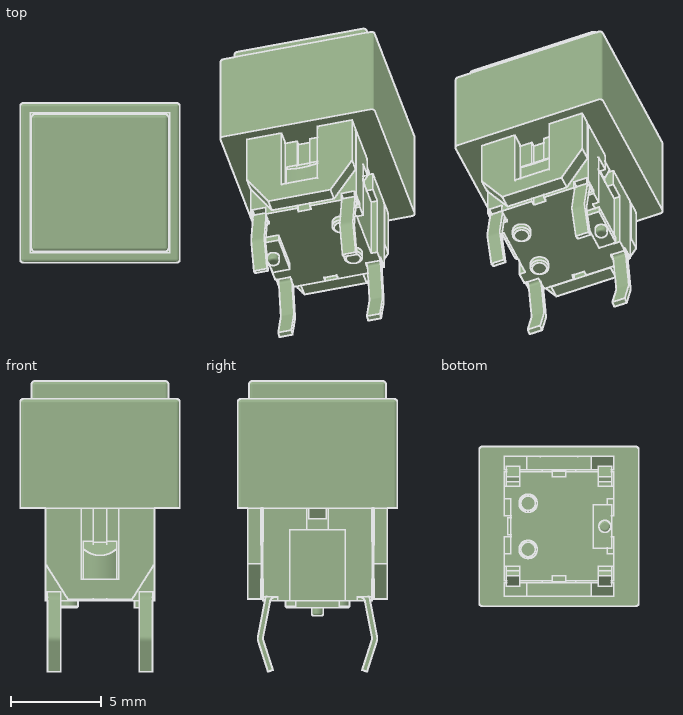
import cadquery as cq
import math


cap_side = 8.8
cap_bottom = 5.1
cap_height = 6.02
cap_top = cap_bottom + cap_height
edge_round = 0.2
button_side = 7.55
button_rise = 0.98
button_gap = 0.075
gap_depth = 1.0

housing_side = 6.0
half_side = housing_side / 2
cap_overlap = 0.2
housing_height = cap_bottom + cap_overlap

recess_width = 3.04
recess_depth = 0.35
recess_top = 3.9
channel_width = 1.16
channel_depth = 0.5
wedge_width = 0.94
wedge_bottom = 4.52
wedge_reach = 0.33

groove_width = 0.72
groove_depth = 0.28
groove_into_nose = 0.04

plate_gap = 0.1
plate_thickness = 0.75
plate_inner = half_side + plate_gap
plate_outer = plate_inner + plate_thickness
plate_bottom = 0.1
plate_slope_top = 2.04
plate_bottom_width = 3.54
window_width = 2.04
window_bottom = 1.2

nose_diameter = 3.7
nose_width = 1.82
nose_front = 3.53
nose_top_at_housing = 3.28
nose_top_at_front = 2.5

leg_width = 0.75
leg_thickness = 0.3
leg_spacing = 5.05
leg_top = 0.5
leg_bottom = -3.9
leg_start = 2.0
knee_y = 3.31
knee_z = -2.1
upper_angle = 11.0
lower_angle = 17.9
outer_bend = 0.55
inner_bend = outer_bend - leg_thickness
pocket_depth = 0.8
side_notch_height = 0.23

foot_drop = 0.39
peg_diameter = 1.0
peg_x = -1.7
peg_y = 1.27
peg_chamfer = 0.1
block_length = 1.0
block_width = 2.4
block_x = 2.39
pin_diameter = 0.66
pin_x = 2.52
pin_drop = 0.83
pin_round = 0.15


def box(x_range, y_range, z_range):
    """Box between the given limits on each axis."""
    size = [high - low for low, high in (x_range, y_range, z_range)]
    corner = (x_range[0], y_range[0], z_range[0])
    return cq.Workplane("XY").box(*size, centered=False).translate(corner)


def centred(width):
    return (-width / 2, width / 2)


def both_sides(shape, plane):
    """A shape together with its mirror image."""
    return shape.union(shape.mirror(plane))


def square_block(side, bottom, height):
    return cq.Workplane("XY").workplane(offset=bottom).rect(side, side).extrude(height)


def rounded_block(side, bottom, height):
    """Square block with rounded upright and top edges."""
    return square_block(side, bottom, height).edges("|Z or >Z").fillet(edge_round)


def make_cap():
    cap = rounded_block(cap_side, cap_bottom, cap_height)
    well_floor = cap_top - gap_depth
    cap = cap.cut(square_block(button_side + 2 * button_gap, well_floor, gap_depth))
    button = rounded_block(button_side, well_floor - cap_overlap, cap_overlap + gap_depth + button_rise)
    return cap.union(button)


def make_side_recess():
    """Wide recess with a deeper narrow channel above it, on the -X side."""
    recess = box((-half_side, -half_side + recess_depth), centred(recess_width), (0, recess_top))
    channel_back = -half_side + channel_depth
    return recess.union(box((-half_side, channel_back), centred(channel_width), (recess_top, cap_bottom)))


def make_wedge():
    """Wedge in the -X channel, widening upward into the cap."""
    root = -half_side + channel_depth
    return (
        cq.Workplane("XZ")
        .moveTo(root, wedge_bottom)
        .lineTo(root - wedge_reach, cap_bottom)
        .lineTo(root, cap_bottom)
        .close()
        .extrude(wedge_width / 2, both=True)
    )


def make_groove():
    """Cutter for the full-height -Y groove, which also trims the back of the nose."""
    depth = (-half_side - groove_into_nose, -half_side + groove_depth)
    return box(centred(groove_width), depth, (0, cap_bottom))


def make_leg_pocket():
    """Pocket for the leg at the -X, -Y corner, open at the bottom."""
    outer_x = -(leg_spacing + leg_width) / 2
    depth = (-half_side, -half_side + pocket_depth)
    pocket = box((outer_x, outer_x + leg_width), depth, (0, leg_top))
    return pocket.union(box((-half_side, outer_x), depth, (0, side_notch_height)))


def make_housing():
    housing = square_block(housing_side, 0, housing_height)
    housing = housing.cut(both_sides(make_side_recess(), "YZ"))
    housing = housing.union(both_sides(make_wedge(), "YZ"))
    housing = housing.cut(both_sides(make_groove(), "XZ"))
    pockets = both_sides(both_sides(make_leg_pocket(), "YZ"), "XZ")
    return housing.cut(pockets)


def make_plate():
    """Tapered plate with a window, on the -Y side."""
    plate = (
        cq.Workplane("XZ", origin=(0, -plate_inner, 0))
        .moveTo(-half_side, housing_height)
        .lineTo(-half_side, plate_slope_top)
        .lineTo(-plate_bottom_width / 2, plate_bottom)
        .lineTo(plate_bottom_width / 2, plate_bottom)
        .lineTo(half_side, plate_slope_top)
        .lineTo(half_side, housing_height)
        .close()
        .extrude(plate_thickness)
    )
    window = box(centred(window_width), (-plate_outer, -plate_inner), (window_bottom, cap_bottom))
    return plate.cut(window)


def make_nose():
    """Cylindrical latch nose with a sloping top, on the -Y side."""
    profile = (
        cq.Workplane("YZ")
        .moveTo(-half_side, window_bottom)
        .lineTo(-nose_front, window_bottom)
        .lineTo(-nose_front, nose_top_at_front)
        .lineTo(-half_side, nose_top_at_housing)
        .close()
        .extrude(nose_width / 2, both=True)
    )
    barrel = (
        cq.Workplane("XY")
        .center(0, -nose_front + nose_diameter / 2)
        .circle(nose_diameter / 2)
        .extrude(housing_height)
    )
    return profile.intersect(barrel).cut(make_groove())


def inner_corner(outer_corner, normal_before, normal_after):
    """Corner of the inner leg face, one leg thickness inside the outer corner."""
    dot = normal_before[0] * normal_after[0] + normal_before[1] * normal_after[1]
    shift = leg_thickness / (1 + dot)
    return tuple(
        place + shift * (before + after)
        for place, before, after in zip(outer_corner, normal_before, normal_after)
    )


def make_leg():
    """Bent leg on the +Y side, centred on X = 0."""
    upper = math.radians(upper_angle)
    lower = math.radians(lower_angle)

    shoulder = (knee_y - (leg_top - knee_z) * math.tan(upper), leg_top)
    knee = (knee_y, knee_z)
    tip = (knee_y - (knee_z - leg_bottom) * math.tan(lower), leg_bottom)

    top_normal = (0, -1)
    upper_normal = (-math.cos(upper), -math.sin(upper))
    lower_normal = (-math.cos(lower), math.sin(lower))
    inner_shoulder = inner_corner(shoulder, top_normal, upper_normal)
    inner_knee = inner_corner(knee, upper_normal, lower_normal)
    inner_tip = inner_corner(tip, lower_normal, lower_normal)

    outline = [
        (leg_start, leg_top),
        shoulder,
        knee,
        tip,
        inner_tip,
        inner_knee,
        inner_shoulder,
        (leg_start, leg_top - leg_thickness),
    ]
    leg = cq.Workplane("YZ").polyline(outline).close().extrude(leg_width / 2, both=True)
    bends = [
        (shoulder, outer_bend),
        (knee, outer_bend),
        (inner_shoulder, inner_bend),
        (inner_knee, inner_bend),
    ]
    for corner, radius in bends:
        leg = leg.edges(cq.NearestToPointSelector((0, *corner))).fillet(radius)
    return leg


def make_legs():
    leg = make_leg().translate((leg_spacing / 2, 0, 0))
    return both_sides(both_sides(leg, "YZ"), "XZ")


def make_feet():
    """Two pegs, a block and its locating pin under the housing."""
    underside = cq.Workplane("XY")
    feet = (
        underside.pushPoints([(peg_x, -peg_y), (peg_x, peg_y)])
        .circle(peg_diameter / 2)
        .extrude(-foot_drop)
        .faces("<Z")
        .chamfer(peg_chamfer)
    )
    block = underside.center(block_x, 0).rect(block_length, block_width).extrude(-foot_drop)
    pin = underside.center(pin_x, 0).circle(pin_diameter / 2).extrude(-pin_drop)
    return feet.union(block).union(pin.faces("<Z").edges().fillet(pin_round))


result = make_housing()
result = result.union(both_sides(make_nose(), "XZ"))
result = result.union(make_cap())
result = result.union(both_sides(make_plate(), "XZ"))
result = result.union(make_legs())
result = result.union(make_feet())